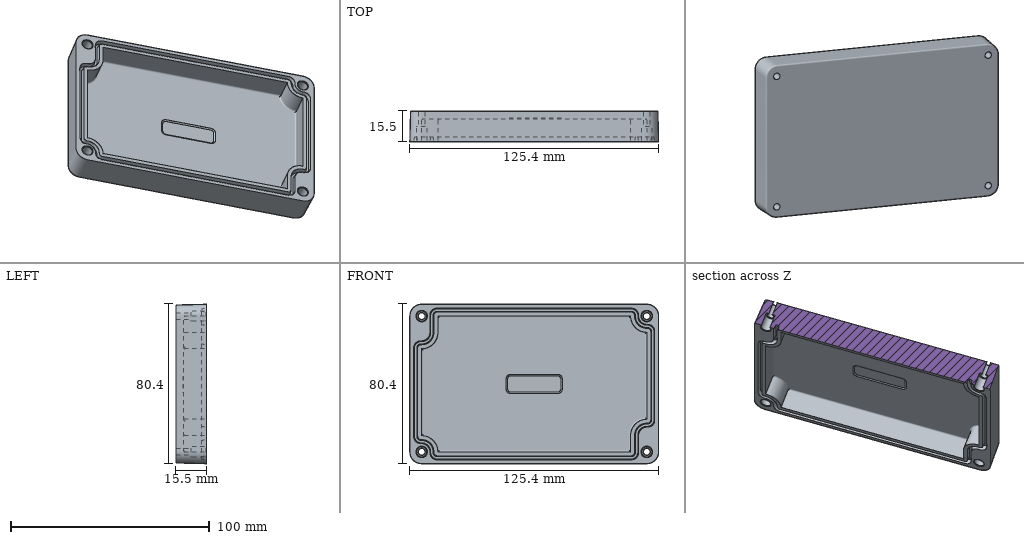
import cadquery as cq
import math

length = 125.4
depth = 15.5
height = 80.4

corner_radius = 6.0
back_inset = 0.4
back_fillet = 0.8

hole_x = length / 2 - corner_radius
hole_z = height / 2 - corner_radius
hole_diameter = 3.4
bore_diameter = 5.1
bore_depth = 7.8
mouth_chamfer = 0.31

rim_width = 2.0
post_radius = 4.1
turn_radius = 3.6
post_stretch = 8.3
groove_width = 2.0
groove_depth = 2.5
groove_draft = 0.4

ridge_width = 2.0
floor_thickness = 4.0
floor_fillet = 0.8
cavity_depth = depth - floor_thickness

label_length = 28.3
label_height = 9.8
label_radius = 2.5
label_depth = 0.5
label_slope = 0.8


def front_plane(y):
    """Plane at the given depth, drawn in X and Z, with its normal towards the front."""
    return cq.Plane(origin=(0, y, 0), xDir=(1, 0, 0), normal=(0, -1, 0))


def lofted_block(x_size, z_size, radius, y, end_y, end_inset, end_radius):
    """Rounded block whose sides lean in by end_inset between y and end_y."""
    start = cq.Sketch().rect(x_size, z_size).vertices().fillet(radius)
    end_size = (x_size - 2 * end_inset, z_size - 2 * end_inset)
    end = cq.Sketch().rect(*end_size).vertices().fillet(end_radius)
    end = end.moved(cq.Location(cq.Vector(0, 0, y - end_y)))
    return cq.Workplane(front_plane(y)).placeSketch(start, end).loft(ruled=True)


def corner_edges(sign_x, sign_z, inset, y):
    """Edges from the long side round one screw post to the short side, and their two ends."""
    side_x = length / 2 - rim_width - inset
    side_z = height / 2 - rim_width - inset
    inner = post_radius + inset
    outer = max(turn_radius - inset, 0)
    stretch = post_stretch if sign_x != sign_z else 0
    post_z = hole_z - stretch
    post_side = hole_x - inner
    post_end = post_z - inner
    half = math.sqrt(0.5)

    def at(x, z):
        return cq.Vector(sign_x * x, y, sign_z * z)

    edges = []

    def line(start, end):
        if (end - start).Length > 1.25e-06:
            edges.append(cq.Edge.makeLine(start, end))

    def turn(corner_x, corner_z):
        if outer > 0:
            centre_x = corner_x - outer
            centre_z = corner_z - outer
            edges.append(cq.Edge.makeThreePointArc(
                at(centre_x, corner_z),
                at(centre_x + outer * half, centre_z + outer * half),
                at(corner_x, centre_z),
            ))

    turn(post_side, side_z)
    line(at(post_side, side_z - outer), at(post_side, post_z))
    edges.append(cq.Edge.makeThreePointArc(
        at(post_side, post_z),
        at(hole_x - inner * half, post_z - inner * half),
        at(hole_x, post_end),
    ))
    line(at(hole_x, post_end), at(side_x - outer, post_end))
    turn(side_x, post_end)
    return edges, at(post_side - outer, side_z), at(side_x, post_end - outer)


def stepped_outline(inset, y):
    """Closed outline of the groove wall, moved inwards by inset."""
    edges = []
    ends = {}
    for sign_x in (-1, 1):
        for sign_z in (-1, 1):
            corner, long_end, short_end = corner_edges(sign_x, sign_z, inset, y)
            edges += corner
            ends[sign_x, sign_z] = (long_end, short_end)
    for sign in (-1, 1):
        edges.append(cq.Edge.makeLine(ends[-1, sign][0], ends[1, sign][0]))
        edges.append(cq.Edge.makeLine(ends[sign, -1][1], ends[sign, 1][1]))
    return cq.Wire.combine(edges)[0]


def stepped_prism(inset, prism_depth, end_inset):
    """Stepped outline carried from the rim into the part, changing its inset on the way."""
    start = stepped_outline(inset, 0)
    end = stepped_outline(end_inset, prism_depth)
    return cq.Workplane(cq.Solid.makeLoft([start, end], True))


body = lofted_block(length, height, corner_radius, 0, depth, back_inset, corner_radius)
body = body.faces(">Y").edges().fillet(back_fillet)

ridge_inset = groove_width
groove = stepped_prism(0, groove_depth, groove_draft)
ridge = stepped_prism(ridge_inset, groove_depth, ridge_inset - groove_draft)
body = body.cut(groove.cut(ridge))

cavity_inset = ridge_inset + ridge_width
cavity_outline = stepped_outline(cavity_inset, 0)
cavity = cq.Workplane(cq.Solid.extrudeLinear(cavity_outline, [], cq.Vector(0, cavity_depth, 0)))
cavity = cavity.faces(">Y").edges().fillet(floor_fillet)
body = body.cut(cavity)

label = lofted_block(label_length, label_height, label_radius, cavity_depth,
                     cavity_depth + label_depth, label_slope, label_radius - label_slope)
body = body.cut(label)

bore_radius = bore_diameter / 2
back = cq.Vector(0, 1, 0)
for x in (-hole_x, hole_x):
    for z in (-hole_z, hole_z):
        base = cq.Vector(x, 0, z)
        through = cq.Solid.makeCylinder(hole_diameter / 2, depth, base, back)
        bore = cq.Solid.makeCylinder(bore_radius, bore_depth, base, back)
        mouth = cq.Solid.makeCone(bore_radius + mouth_chamfer, bore_radius, mouth_chamfer, base, back)
        for cutter in (through, bore, mouth):
            body = body.cut(cq.Workplane(cutter))

result = body